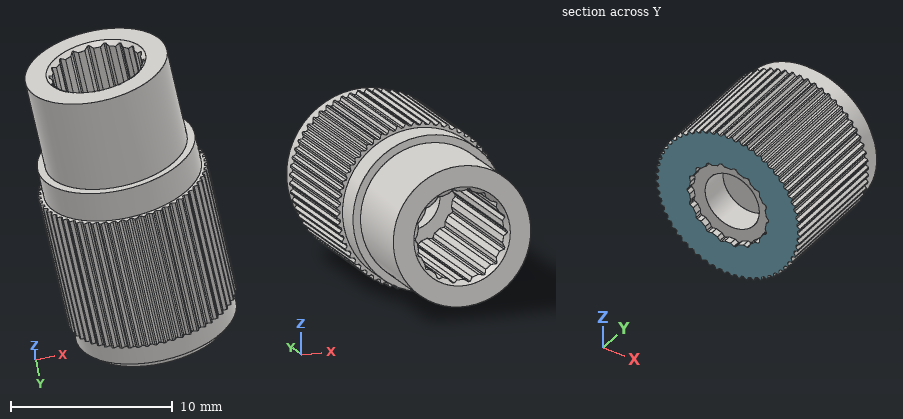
import cadquery as cq
import math

total_length = 19.0
stem_length = 6.2
collar_length = 2.0
grip_length = 9.0
cap_chamfer_length = 0.5

stem_radius = 9.0 / 2
collar_radius = 10.0 / 2
cap_radius = 10.2 / 2
cap_end_radius = cap_radius - cap_chamfer_length

ridge_count = 60
ridge_radius = 5.35
ridge_angle = 1.2
groove_radius = 5.17
groove_angle = 1.6

spline_count = 18
spline_root_radius = 3.0
spline_root_angle = 2.0
spline_tip_radius = 2.83
spline_tip_angle = 8.8
mouth_radius = 6.3 / 2
lead_in_length = 0.3
bore_depth = 10.0

relief_radius = 4.0 / 2
relief_depth = 2.0

collar_start = stem_length
grip_start = collar_start + collar_length
cap_chamfer_start = total_length - cap_chamfer_length


def facing_plus_y(y):
    """Work plane across the axis at the given position, extruding towards +Y."""
    return cq.Workplane(cq.Plane(origin=(0, y, 0), xDir=(1, 0, 0), normal=(0, 1, 0)))


def polar(radius, degrees):
    angle = math.radians(degrees)
    return radius * math.cos(angle), radius * math.sin(angle)


def make_body():
    """Turned body: stem, collar and chamfered cap, solid along its whole length."""
    return (
        cq.Workplane("XY")
        .polyline([
            (0, 0),
            (stem_radius, 0),
            (stem_radius, collar_start),
            (collar_radius, collar_start),
            (collar_radius, grip_start),
            (cap_radius, grip_start),
            (cap_radius, cap_chamfer_start),
            (cap_end_radius, total_length),
            (0, total_length),
        ])
        .close()
        .revolve(360, (0, 0, 0), (0, 1, 0))
    )


def toothed_prism(start, length, count, notch_radius, notch_angle, tooth_radius, tooth_angle):
    """Prism along the axis with arc-topped teeth and arc-bottomed notches, one notch on the X axis.

    The notch and tooth angles are the spans of the arcs; straight flanks join them.
    """
    pitch = 360 / count
    outline = facing_plus_y(start).moveTo(*polar(notch_radius, -notch_angle / 2))
    for index in range(count):
        notch_middle = index * pitch
        tooth_middle = notch_middle + pitch / 2
        next_notch_start = notch_middle + pitch - notch_angle / 2
        outline = (
            outline
            .threePointArc(
                polar(notch_radius, notch_middle),
                polar(notch_radius, notch_middle + notch_angle / 2),
            )
            .lineTo(*polar(tooth_radius, tooth_middle - tooth_angle / 2))
            .threePointArc(
                polar(tooth_radius, tooth_middle),
                polar(tooth_radius, tooth_middle + tooth_angle / 2),
            )
        )
        if index < count - 1:
            outline = outline.lineTo(*polar(notch_radius, next_notch_start))
    return outline.close().extrude(length)


def make_grip():
    """Knurled grip with straight ridges along the axis."""
    return toothed_prism(
        grip_start, grip_length, ridge_count,
        groove_radius, groove_angle, ridge_radius, ridge_angle,
    )


def make_spline_bore():
    """Space inside the spline: its teeth point inwards between narrow notches."""
    return toothed_prism(
        0, bore_depth, spline_count,
        spline_root_radius, spline_root_angle, spline_tip_radius, spline_tip_angle,
    )


def make_lead_in():
    """Cone that opens the bore at the stem end."""
    return (
        cq.Workplane("XY")
        .polyline([
            (0, 0),
            (mouth_radius, 0),
            (spline_tip_radius, lead_in_length),
            (0, lead_in_length),
        ])
        .close()
        .revolve(360, (0, 0, 0), (0, 1, 0))
    )


def make_relief_hole():
    """Narrower blind hole continuing past the bottom of the spline."""
    return facing_plus_y(bore_depth).circle(relief_radius).extrude(relief_depth)


result = (
    make_body()
    .union(make_grip())
    .cut(make_spline_bore())
    .cut(make_lead_in())
    .cut(make_relief_hole())
)